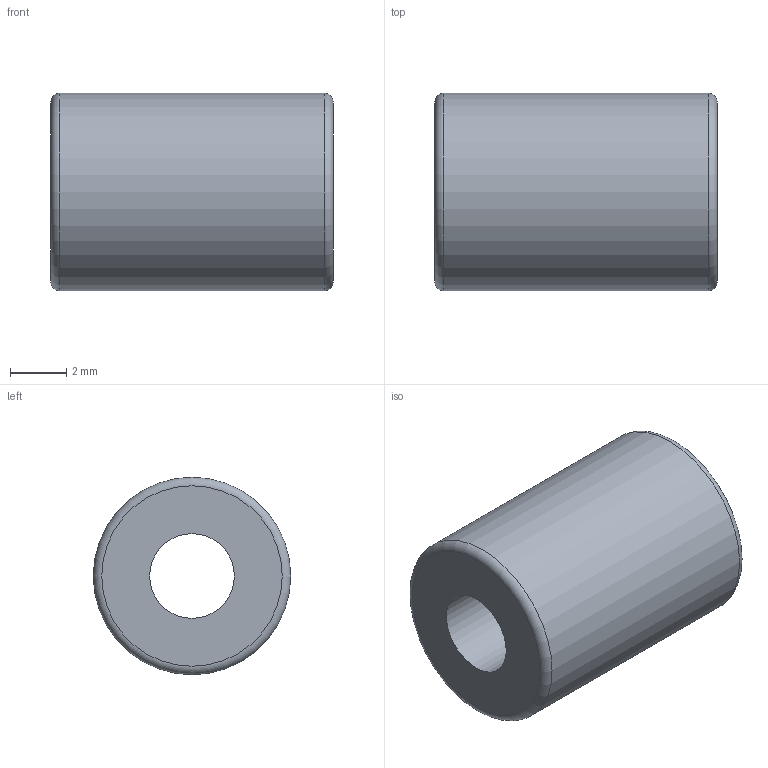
import cadquery as cq

length = 10.0
outer_diameter = 7.0
bore_diameter = 3.0
rim_radius = 0.3


def axial_cylinder(diameter):
    """Cylinder along X over the full part length, centred on the origin."""
    start_plane = cq.Workplane("YZ", origin=(-length / 2, 0, 0))
    return start_plane.circle(diameter / 2).extrude(length)


def make_body():
    """Solid outer cylinder with both end rims rounded."""
    return axial_cylinder(outer_diameter).faces("<X or >X").edges().fillet(rim_radius)


def make_bore():
    """Plain through bore along the axis."""
    return axial_cylinder(bore_diameter)


result = make_body().cut(make_bore())